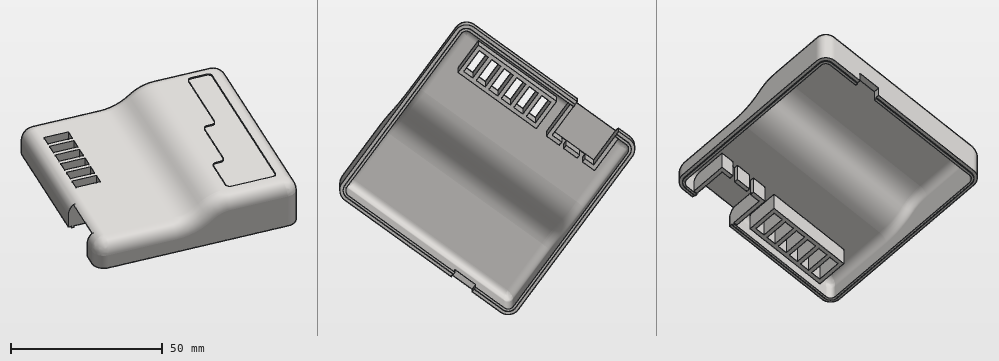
import cadquery as cq
import math

SIZE = 72.0
HEIGHT = 17.65
DECK_HEIGHT = 10.7
STEP_TOP_Y = 11.7
STEP_BOTTOM_Y = -7.55
TOP_FILLET = 5.05
CORNER_RADIUS = 4.2
WALL = 2.0

LIP_HEIGHT = 0.6
LIP_INSET = 1.15

BAY_LEFT = 10.45
BAY_RIGHT = 27.35
BAY_TOP = 9.5
RIB = 1.4
RIB_SLOTS = ((14.3, 16.1), (21.7, 23.75))

SOCKET_COUNT = 6
SOCKET_PITCH = 5.1
SOCKET_LEFT = -25.7
SOCKET_WIDTH = 3.7
SOCKET_FRONT_Y = -30.7
SOCKET_BACK_Y = -22.0

PORT_LEFT = 11.7
PORT_WIDTH = 8.5
PORT_TOP = 4.75

LABEL_LEFT = -30.2
LABEL_RIGHT = 30.0
LABEL_BACK_Y = 30.1
LABEL_STEP_X = (-3.8, 16.0)
LABEL_FRONT_Y = (21.75, 17.1, 12.6)
LABEL_CORNER_RADIUS = 1.45
LABEL_DEPTH = 0.5

HALF = SIZE / 2
CEILING = DECK_HEIGHT - WALL
INNER_FRONT_Y = WALL - HALF

STEP_RUN = STEP_TOP_Y - STEP_BOTTOM_Y
STEP_DROP = HEIGHT - DECK_HEIGHT
STEP_RADIUS = (STEP_RUN**2 + STEP_DROP**2) / (4 * STEP_DROP)
STEP_ANGLE = math.asin(STEP_RUN / 2 / STEP_RADIUS)


def box(x_range, y_range, z_range):
    """Axis-aligned block between the given limits."""
    return cq.Workplane("XY").box(
        x_range[1] - x_range[0],
        y_range[1] - y_range[0],
        z_range[1] - z_range[0],
        centered=False,
    ).translate((x_range[0], y_range[0], z_range[0]))


def cover_solid(inset):
    """Solid cover shape with its sides and top moved inward by the inset."""
    half = HALF - inset
    high = HEIGHT - inset
    low = DECK_HEIGHT - inset
    crest_radius = STEP_RADIUS - inset
    valley_radius = STEP_RADIUS + inset
    crest_center_z = HEIGHT - STEP_RADIUS
    valley_center_z = DECK_HEIGHT + STEP_RADIUS

    def crest(angle):
        return (
            STEP_TOP_Y - crest_radius * math.sin(angle),
            crest_center_z + crest_radius * math.cos(angle),
        )

    def valley(angle):
        return (
            STEP_BOTTOM_Y + valley_radius * math.sin(angle),
            valley_center_z - valley_radius * math.cos(angle),
        )

    prism = (
        cq.Workplane("YZ", origin=(-half, 0, 0))
        .moveTo(half, LIP_HEIGHT)
        .lineTo(half, high)
        .lineTo(STEP_TOP_Y, high)
        .threePointArc(crest(STEP_ANGLE / 2), crest(STEP_ANGLE))
        .threePointArc(valley(STEP_ANGLE / 2), (STEP_BOTTOM_Y, low))
        .lineTo(-half, low)
        .lineTo(-half, LIP_HEIGHT)
        .close()
        .extrude(2 * half)
    )
    rounded = prism.edges("|Z").fillet(CORNER_RADIUS - inset)
    return rounded.faces(">Z").edges().fillet(TOP_FILLET - inset)


def lip_layer(inset):
    """Rounded square plate, as thick as the lip."""
    side = SIZE - 2 * inset
    plate = cq.Workplane("XY").rect(side, side).extrude(LIP_HEIGHT)
    return plate.edges("|Z").fillet(CORNER_RADIUS - inset)


def socket_left(index):
    return SOCKET_LEFT + index * SOCKET_PITCH


def socket_housing():
    """Block under the low deck that carries the sockets."""
    right = socket_left(SOCKET_COUNT - 1) + SOCKET_WIDTH
    return box(
        (SOCKET_LEFT - RIB, right + RIB),
        (SOCKET_FRONT_Y - RIB, SOCKET_BACK_Y + RIB),
        (LIP_HEIGHT, CEILING),
    )


def sockets():
    """Through openings of the socket row."""
    openings = cq.Workplane("XY")
    for index in range(SOCKET_COUNT):
        left = socket_left(index)
        openings = openings.add(
            box((left, left + SOCKET_WIDTH), (SOCKET_FRONT_Y, SOCKET_BACK_Y), (0, HEIGHT))
        )
    return openings.combine()


def bay_housing():
    """Ribs around the connector bay, with two slots in the back rib."""
    housing = box(
        (BAY_LEFT - RIB, BAY_RIGHT + RIB),
        (INNER_FRONT_Y, SOCKET_BACK_Y + RIB),
        (LIP_HEIGHT, CEILING),
    )
    for slot in RIB_SLOTS:
        housing = housing.cut(
            box(slot, (SOCKET_BACK_Y, SOCKET_BACK_Y + RIB), (LIP_HEIGHT, CEILING))
        )
    return housing


def label_recess():
    first_x, second_x = LABEL_STEP_X
    left_y, middle_y, right_y = LABEL_FRONT_Y
    outline = [
        (LABEL_LEFT, LABEL_BACK_Y),
        (LABEL_LEFT, left_y),
        (first_x, left_y),
        (first_x, middle_y),
        (second_x, middle_y),
        (second_x, right_y),
        (LABEL_RIGHT, right_y),
        (LABEL_RIGHT, LABEL_BACK_Y),
    ]
    plate = cq.Workplane("XY", origin=(0, 0, HEIGHT - LABEL_DEPTH)).polyline(outline).close()
    return plate.extrude(LABEL_DEPTH).edges("|Z").fillet(LABEL_CORNER_RADIUS)


shell = cover_solid(0).cut(cover_solid(WALL))
lip = lip_layer(LIP_INSET).cut(lip_layer(WALL))

bay = box((BAY_LEFT, BAY_RIGHT), (-HALF, SOCKET_BACK_Y), (0, BAY_TOP))
port = box((PORT_LEFT, PORT_LEFT + PORT_WIDTH), (HALF - WALL, HALF), (0, PORT_TOP))

result = (
    shell.union(lip)
    .union(socket_housing())
    .union(bay_housing())
    .cut(sockets())
    .cut(bay)
    .cut(port)
    .cut(label_recess())
)